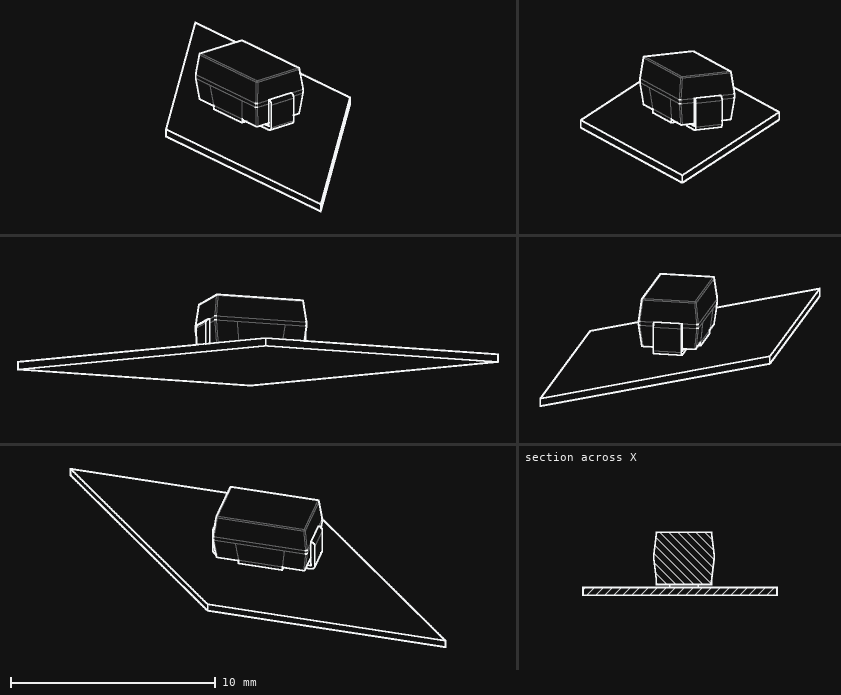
import cadquery as cq
import math

BOARD_LENGTH = 21.6
BOARD_WIDTH = 9.52
BOARD_THICKNESS = 0.39
BOARD_CENTRE_X = 0.43
BOARD_CENTRE_Y = 0.2

LEAD_THICKNESS = 0.2
LEAD_WIDTH = 1.4
FOOT_LENGTH = 1.12

HOUSING_LENGTH = 4.77
HOUSING_WIDTH = 2.98
HOUSING_TOP = 3.1
HOUSING_BOTTOM = 0.658
BAND_BOTTOM = 1.8
BAND_TOP = BAND_BOTTOM + LEAD_THICKNESS
DRAFT_ANGLE = 7
EDGE_RADIUS = 0.06

STANDOFF_LENGTH = 2.48
STANDOFF_BOTTOM = 0.53
STANDOFF_FOOT_HEIGHT = 0.2


def inset(height):
    """Amount by which a drafted side moves in over a height."""
    return height * math.tan(math.radians(DRAFT_ANGLE))


def make_board():
    half_length = BOARD_LENGTH / 2
    half_width = BOARD_WIDTH / 2
    corners = [
        (-half_length, half_width),
        (half_length - BOARD_WIDTH, half_width),
        (half_length, -half_width),
        (BOARD_WIDTH - half_length, -half_width),
    ]
    outline = cq.Workplane("XY").center(BOARD_CENTRE_X, BOARD_CENTRE_Y).polyline(corners).close()
    return outline.extrude(BOARD_THICKNESS)


def drafted_half(height):
    """Half of the housing, narrowing upwards from its wide base, with rounded corners."""
    half = cq.Workplane("XY").rect(HOUSING_LENGTH, HOUSING_WIDTH).extrude(height, taper=DRAFT_ANGLE)
    return half.edges("not <Z").fillet(EDGE_RADIUS)


def make_standoff():
    drafted_height = BAND_BOTTOM - STANDOFF_BOTTOM - STANDOFF_FOOT_HEIGHT
    drafted = cq.Workplane("XY").rect(STANDOFF_LENGTH, HOUSING_WIDTH)
    drafted = drafted.extrude(drafted_height, taper=DRAFT_ANGLE)
    foot = cq.Workplane("XY", origin=(0, 0, drafted_height)).rect(
        STANDOFF_LENGTH - 2 * inset(drafted_height),
        HOUSING_WIDTH - 2 * inset(drafted_height),
    )
    return drafted.union(foot.extrude(STANDOFF_FOOT_HEIGHT))


def hang_below_band(shape):
    """Turn a shape upside down and hang it from the bottom of the band."""
    return shape.rotate((0, 0, 0), (1, 0, 0), 180).translate((0, 0, BAND_BOTTOM))


def make_housing():
    band = cq.Workplane("XY", origin=(0, 0, BAND_BOTTOM)).rect(HOUSING_LENGTH, HOUSING_WIDTH)
    band = band.extrude(LEAD_THICKNESS).edges("|Z").fillet(EDGE_RADIUS)
    upper_half = drafted_half(HOUSING_TOP - BAND_TOP).translate((0, 0, BAND_TOP))
    lower_half = hang_below_band(drafted_half(BAND_BOTTOM - HOUSING_BOTTOM))
    housing = band.union(upper_half).union(lower_half)
    return housing.union(hang_below_band(make_standoff()), clean=False)


def make_lead(direction):
    """Lead at the end of the housing given by direction: -1 for -X, 1 for +X."""
    wall_x = HOUSING_LENGTH / 2
    outer_x = wall_x + LEAD_THICKNESS
    foot_top = BOARD_THICKNESS + LEAD_THICKNESS
    foot_end = outer_x - FOOT_LENGTH
    bend_middle = LEAD_THICKNESS * math.sqrt(0.5)
    profile = (
        cq.Workplane("XZ")
        .moveTo(direction * wall_x, BAND_TOP)
        .threePointArc(
            (direction * (wall_x + bend_middle), BAND_BOTTOM + bend_middle),
            (direction * outer_x, BAND_BOTTOM),
        )
        .lineTo(direction * outer_x, foot_top)
        .threePointArc(
            (direction * (wall_x + bend_middle), foot_top - bend_middle),
            (direction * wall_x, BOARD_THICKNESS),
        )
        .lineTo(direction * foot_end, BOARD_THICKNESS)
        .lineTo(direction * foot_end, foot_top)
        .lineTo(direction * wall_x, foot_top)
        .close()
    )
    return profile.extrude(LEAD_WIDTH / 2, both=True)


board = make_board()
housing = make_housing()
leads = [make_lead(direction) for direction in (-1, 1)]

result = cq.Compound.makeCompound([board.val(), housing.val(), *[lead.val() for lead in leads]])